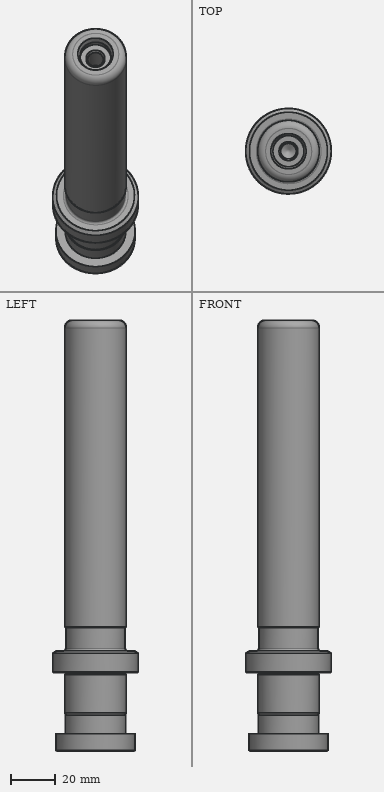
import cadquery as cq
import math

TOTAL_HEIGHT = 196.0
PILLAR_RADIUS = 14.01
COLLAR_RADIUS = 19.5

HEAD_RADIUS = 18.0
HEAD_HEIGHT = 8.0
HEAD_CHAMFER = 0.5
SPIGOT_RADIUS = PILLAR_RADIUS - 0.2
CAP_HEIGHT = 16.5

FOOT_CHAMFER_WIDTH = 0.5
FOOT_CHAMFER_HEIGHT = 1.0
COLLAR_BOTTOM = 35.7
COLLAR_TOP = 45.7
COLLAR_TOP_CHAMFER_WIDTH = 1.8
COLLAR_TOP_CHAMFER_HEIGHT = 1.2
COLLAR_BOTTOM_CHAMFER = 0.5
LOWER_GROOVE_HEIGHT = 0.5
LOWER_GROOVE_DEPTH = 0.4
NECK_RADIUS = 13.5
NECK_TOP = 56.3
NECK_FILLET = 1.2
EDGE_BREAK_HEIGHT = 0.4
TIP_ROUND = 3.5

MOUTH_RADIUS = 8.0
COUNTERBORE_RADIUS = 7.0
MOUTH_DEPTH = 2.4
COUNTERBORE_DEPTH = 5.0
HOLE_RADIUS = 3.5
HOLE_CHAMFER = 0.8
HOLE_DEPTH = 19.6
DRILL_POINT_ANGLE = 120.0


def revolve_profile(profile):
    """Turn a closed radius-height outline about the Z axis."""
    return profile.close().revolve(360, (0, 0, 0), (0, 1, 0))


def make_end_cap():
    return revolve_profile(
        cq.Workplane("XZ")
        .lineTo(HEAD_RADIUS - HEAD_CHAMFER, 0)
        .lineTo(HEAD_RADIUS, HEAD_CHAMFER)
        .lineTo(HEAD_RADIUS, HEAD_HEIGHT)
        .lineTo(SPIGOT_RADIUS, HEAD_HEIGHT)
        .lineTo(SPIGOT_RADIUS, CAP_HEIGHT)
        .lineTo(0, CAP_HEIGHT)
    )


def make_pillar_blank():
    groove_radius = PILLAR_RADIUS - LOWER_GROOVE_DEPTH
    groove_bottom = COLLAR_BOTTOM - LOWER_GROOVE_HEIGHT
    return revolve_profile(
        cq.Workplane("XZ")
        .moveTo(0, CAP_HEIGHT)
        .lineTo(PILLAR_RADIUS - FOOT_CHAMFER_WIDTH, CAP_HEIGHT)
        .lineTo(PILLAR_RADIUS, CAP_HEIGHT + FOOT_CHAMFER_HEIGHT)
        .lineTo(PILLAR_RADIUS, groove_bottom - EDGE_BREAK_HEIGHT)
        .lineTo(groove_radius, groove_bottom)
        .lineTo(groove_radius, COLLAR_BOTTOM)
        .lineTo(COLLAR_RADIUS - COLLAR_BOTTOM_CHAMFER, COLLAR_BOTTOM)
        .lineTo(COLLAR_RADIUS, COLLAR_BOTTOM + COLLAR_BOTTOM_CHAMFER)
        .lineTo(COLLAR_RADIUS, COLLAR_TOP - COLLAR_TOP_CHAMFER_HEIGHT)
        .lineTo(COLLAR_RADIUS - COLLAR_TOP_CHAMFER_WIDTH, COLLAR_TOP)
        .lineTo(NECK_RADIUS + NECK_FILLET, COLLAR_TOP)
        .radiusArc((NECK_RADIUS, COLLAR_TOP + NECK_FILLET), NECK_FILLET)
        .lineTo(NECK_RADIUS, NECK_TOP)
        .lineTo(PILLAR_RADIUS, NECK_TOP + EDGE_BREAK_HEIGHT)
        .lineTo(PILLAR_RADIUS, TOTAL_HEIGHT - TIP_ROUND)
        .radiusArc((PILLAR_RADIUS - TIP_ROUND, TOTAL_HEIGHT), -TIP_ROUND)
        .lineTo(0, TOTAL_HEIGHT)
    )


def make_centre_hole():
    floor = TOTAL_HEIGHT - COUNTERBORE_DEPTH
    hole_end = TOTAL_HEIGHT - HOLE_DEPTH
    point_height = HOLE_RADIUS / math.tan(math.radians(DRILL_POINT_ANGLE / 2))
    return revolve_profile(
        cq.Workplane("XZ")
        .moveTo(0, TOTAL_HEIGHT)
        .lineTo(MOUTH_RADIUS, TOTAL_HEIGHT)
        .lineTo(COUNTERBORE_RADIUS, TOTAL_HEIGHT - MOUTH_DEPTH)
        .lineTo(COUNTERBORE_RADIUS, floor)
        .lineTo(HOLE_RADIUS + HOLE_CHAMFER, floor)
        .lineTo(HOLE_RADIUS, floor - HOLE_CHAMFER)
        .lineTo(HOLE_RADIUS, hole_end)
        .lineTo(0, hole_end - point_height)
    )


end_cap = make_end_cap()
pillar = make_pillar_blank().cut(make_centre_hole())

result = cq.Compound.makeCompound([end_cap.val(), pillar.val()])